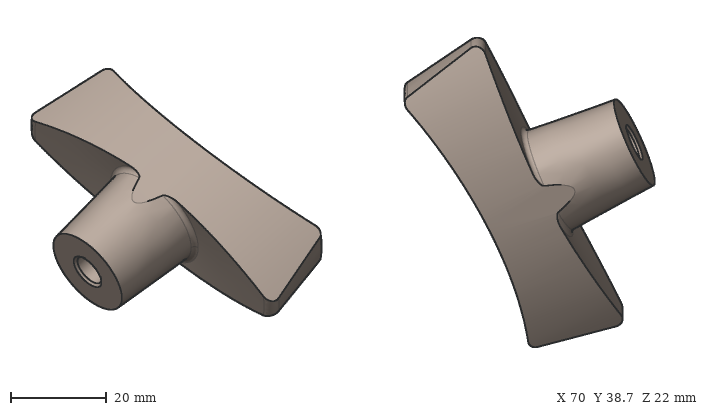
import cadquery as cq
import math

stem_end_radius = 9.9
stem_taper = 0.08
stem_root_fillet = 1.05

wing_apex_y = 21.3
wing_under_slope = 0.075
rim_bottom_radius = 35.5
rim_top_radius = 31.2
rim_top_y = 39.3
dish_floor_y = 33.3
rim_bottom_fillet = 1.95
rim_top_fillet = 1.55

lens_half_height = 11.0
lens_arc_radius = 74.9

hole_radius = 3.4
hole_mouth_radius = 4.0
hole_depth = 15.4
drill_point_angle = 118


def turned_blank():
    """Wing blank and stem, turned as one profile of radius against Y."""
    root_radius = (stem_end_radius + stem_taper * wing_apex_y) / (1 + stem_taper * wing_under_slope)
    root_y = wing_apex_y - wing_under_slope * root_radius
    rim_bottom_y = wing_apex_y - wing_under_slope * rim_bottom_radius

    dish_depth = rim_top_y - dish_floor_y
    dish_radius = (rim_top_radius**2 + dish_depth**2) / (2 * dish_depth)
    dish_mid_radius = rim_top_radius / 2
    dish_mid_y = dish_floor_y + dish_radius - math.sqrt(dish_radius**2 - dish_mid_radius**2)

    blank = (
        cq.Workplane("XY")
        .lineTo(stem_end_radius, 0)
        .lineTo(root_radius, root_y)
        .lineTo(rim_bottom_radius, rim_bottom_y)
        .lineTo(rim_top_radius, rim_top_y)
        .threePointArc((dish_mid_radius, dish_mid_y), (0, dish_floor_y))
        .close()
        .revolve(360, (0, 0, 0), (0, 1, 0))
    )

    def circle_at(radius, y):
        return cq.selectors.BoxSelector(
            (-radius - 0.7, y - 0.1, -radius - 0.7),
            (radius + 0.7, y + 0.1, radius + 0.7),
            boundingbox=True,
        )

    blank = blank.edges(circle_at(root_radius, root_y)).fillet(stem_root_fillet)
    blank = blank.edges(circle_at(rim_bottom_radius, rim_bottom_y)).fillet(rim_bottom_fillet)
    return blank.edges(circle_at(rim_top_radius, rim_top_y)).fillet(rim_top_fillet)


def lens():
    """Prism along Y bounded by two equal arcs that meet in points at both ends."""
    arc_center_offset = lens_arc_radius - lens_half_height
    half_length = math.sqrt(lens_arc_radius**2 - arc_center_offset**2)
    return (
        cq.Workplane("XZ")
        .moveTo(-half_length, 0)
        .threePointArc((0, lens_half_height), (half_length, 0))
        .threePointArc((0, -lens_half_height), (-half_length, 0))
        .close()
        .extrude(-rim_top_y)
    )


def blind_hole():
    """Solid to remove: chamfered mouth, straight bore and conical drill tip."""
    mouth_depth = hole_mouth_radius - hole_radius
    tip_depth = hole_radius / math.tan(math.radians(drill_point_angle / 2))
    return (
        cq.Workplane("XY")
        .lineTo(hole_mouth_radius, 0)
        .lineTo(hole_radius, mouth_depth)
        .lineTo(hole_radius, hole_depth)
        .lineTo(0, hole_depth + tip_depth)
        .close()
        .revolve(360, (0, 0, 0), (0, 1, 0))
    )


result = turned_blank().intersect(lens()).cut(blind_hole())